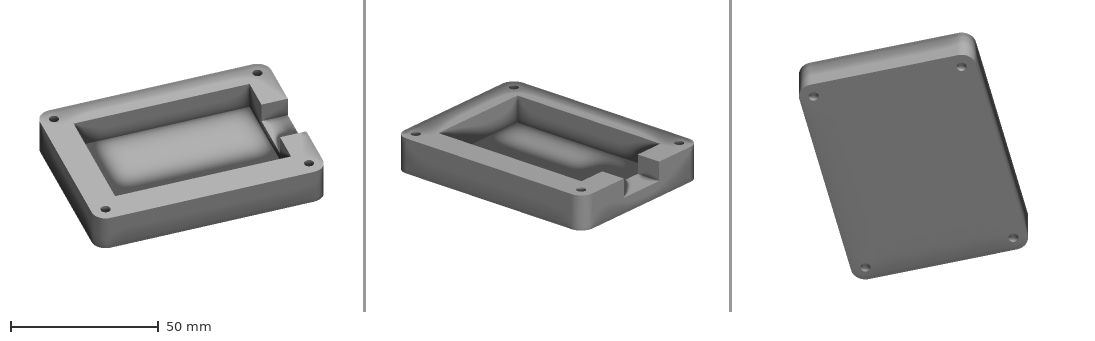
import cadquery as cq

width = 61.6
length = 83.25
height = 13.0
corner_radius = 5.0

hole_diameter = 3.4

pocket_width = 41.55
pocket_length = 63.35
left_wall = 9.6
back_wall = 9.5
floor_thickness = 3.0

notch_width = 18.65
notch_offset = 21.5
notch_depth = 7.2

left = -width / 2
back = length / 2


def make_body():
    """Rectangular block with rounded vertical corners, resting on Z = 0."""
    block = cq.Workplane("XY").box(width, length, height, centered=(True, True, False))
    return block.edges("|Z").fillet(corner_radius)


def make_pocket():
    """Rectangular cavity open at the top."""
    depth = height - floor_thickness
    return (
        cq.Workplane("XY")
        .box(pocket_width, pocket_length, depth, centered=False)
        .translate((left + left_wall, back - back_wall - pocket_length, floor_thickness))
    )


def make_notch():
    """Opening from the pocket through the back wall."""
    return (
        cq.Workplane("XY")
        .box(notch_width, back_wall, notch_depth, centered=False)
        .translate((left + notch_offset, back - back_wall, height - notch_depth))
    )


def make_screw_holes():
    """Four through holes on the corner centres."""
    return (
        cq.Workplane("XY")
        .rect(width - 2 * corner_radius, length - 2 * corner_radius, forConstruction=True)
        .vertices()
        .circle(hole_diameter / 2)
        .extrude(height)
    )


result = make_body().cut(make_pocket()).cut(make_notch()).cut(make_screw_holes())